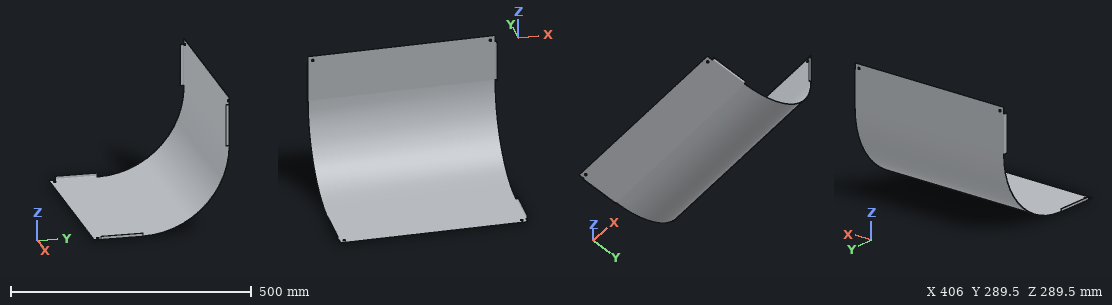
import cadquery as cq
import math

overall_width = 406.0
leg_span = 289.5
thickness = 1.0
flat_length = 104.7
flange_reach = 3.05
bend_radius = 2.0
flange_height = 8.0
flange_length = 89.7
flange_setback = 14.2
hole_diameter = 5.0
hole_inset = 10.0

sheet_width = overall_width - 2 * flange_reach
curve_radius = leg_span - flat_length
inner_curve_radius = curve_radius - thickness
inner_bend_radius = bend_radius - thickness
diagonal = math.sqrt(0.5)

outer_face = leg_span / 2
inner_face = outer_face - thickness
free_edge = -leg_span / 2
tangent = free_edge + flat_length


def curved_sheet():
    """Two flat legs at right angles joined by a large quarter-circle curve."""
    outer_mid = tangent + curve_radius * diagonal
    inner_mid = tangent + inner_curve_radius * diagonal
    return (
        cq.Workplane("YZ")
        .moveTo(free_edge, -outer_face)
        .lineTo(tangent, -outer_face)
        .threePointArc((outer_mid, -outer_mid), (outer_face, -tangent))
        .lineTo(outer_face, -free_edge)
        .lineTo(inner_face, -free_edge)
        .lineTo(inner_face, -tangent)
        .threePointArc((inner_mid, -inner_mid), (tangent, -inner_face))
        .lineTo(free_edge, -inner_face)
        .close()
        .extrude(sheet_width / 2, both=True)
    )


def lower_flange():
    """Bent-up flange on the +X side of the lower leg."""
    side_edge = sheet_width / 2
    bend_center_z = -outer_face + bend_radius
    tip_z = -outer_face + flange_height
    outer_x = side_edge + flange_reach
    bend_center_x = outer_x - bend_radius
    inner_x = outer_x - thickness
    outer_offset = bend_radius * diagonal
    outer_mid = (bend_center_x + outer_offset, bend_center_z - outer_offset)
    inner_offset = inner_bend_radius * diagonal
    inner_mid = (bend_center_x + inner_offset, bend_center_z - inner_offset)
    flange_start = free_edge + flange_setback
    return (
        cq.Workplane("XZ", origin=(0, flange_start, 0))
        .moveTo(side_edge, -outer_face)
        .lineTo(bend_center_x, -outer_face)
        .threePointArc(outer_mid, (outer_x, bend_center_z))
        .lineTo(outer_x, tip_z)
        .lineTo(inner_x, tip_z)
        .lineTo(inner_x, bend_center_z)
        .threePointArc(inner_mid, (bend_center_x, -inner_face))
        .lineTo(side_edge, -inner_face)
        .close()
        .extrude(-flange_length)
    )


def lower_holes():
    """Cutters for the two corner holes of the lower leg."""
    hole_x = sheet_width / 2 - hole_inset
    hole_y = free_edge + hole_inset
    return (
        cq.Workplane("XY", origin=(0, 0, -outer_face))
        .pushPoints([(-hole_x, hole_y), (hole_x, hole_y)])
        .circle(hole_diameter / 2)
        .extrude(thickness)
    )


def on_upright_leg(feature):
    """Turn a feature of the lower leg onto the upright leg, end for end."""
    end_for_end = feature.mirror("XZ")
    return end_for_end.rotate((0, 0, 0), (1, 0, 0), 90)


result = curved_sheet()
right_flange = lower_flange()
for flange in (right_flange, right_flange.mirror("YZ")):
    result = result.union(flange).union(on_upright_leg(flange))

holes = lower_holes()
result = result.cut(holes).cut(on_upright_leg(holes))